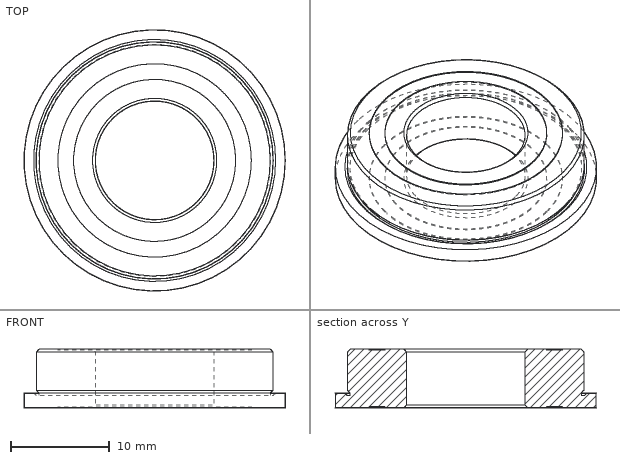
import cadquery as cq

flange_diameter = 26.5
body_diameter = 24.0
bore_diameter = 12.0
height = 6.0
flange_thickness = 1.5
edge_chamfer = 0.3

undercut_reach = 0.26
undercut_sink = 0.25

shield_outer_diameter = 19.6
shield_inner_diameter = 16.43
shield_recess = 0.1


def ring(outer_diameter, inner_diameter, bottom, thickness):
    """Flat annular ring resting at the given height."""
    return (
        cq.Workplane("XY", origin=(0, 0, bottom))
        .circle(outer_diameter / 2)
        .circle(inner_diameter / 2)
        .extrude(thickness)
    )


def bearing_blank():
    """Revolved section of flange, body, undercut and chamfered bore."""
    flange_radius = flange_diameter / 2
    body_radius = body_diameter / 2
    bore_radius = bore_diameter / 2
    flange_lip_radius = body_radius + undercut_reach
    undercut_radius = body_radius - undercut_sink
    undercut_floor = flange_thickness - undercut_sink
    body_foot = flange_thickness + undercut_reach
    section = [
        (bore_radius + edge_chamfer, 0),
        (flange_radius, 0),
        (flange_radius, flange_thickness),
        (flange_lip_radius, flange_thickness),
        (flange_lip_radius - undercut_sink, undercut_floor),
        (undercut_radius, undercut_floor),
        (undercut_radius, body_foot - undercut_sink),
        (body_radius, body_foot),
        (body_radius, height - edge_chamfer),
        (body_radius - edge_chamfer, height),
        (bore_radius + edge_chamfer, height),
        (bore_radius, height - edge_chamfer),
        (bore_radius, edge_chamfer),
    ]
    return cq.Workplane("XZ").polyline(section).close().revolve(360, (0, 0), (0, 1))


def shield_recesses():
    """Annular recesses in the top and bottom faces."""
    top = ring(shield_outer_diameter, shield_inner_diameter, height - shield_recess, shield_recess)
    bottom = ring(shield_outer_diameter, shield_inner_diameter, 0, shield_recess)
    return top.union(bottom)


result = bearing_blank().cut(shield_recesses())